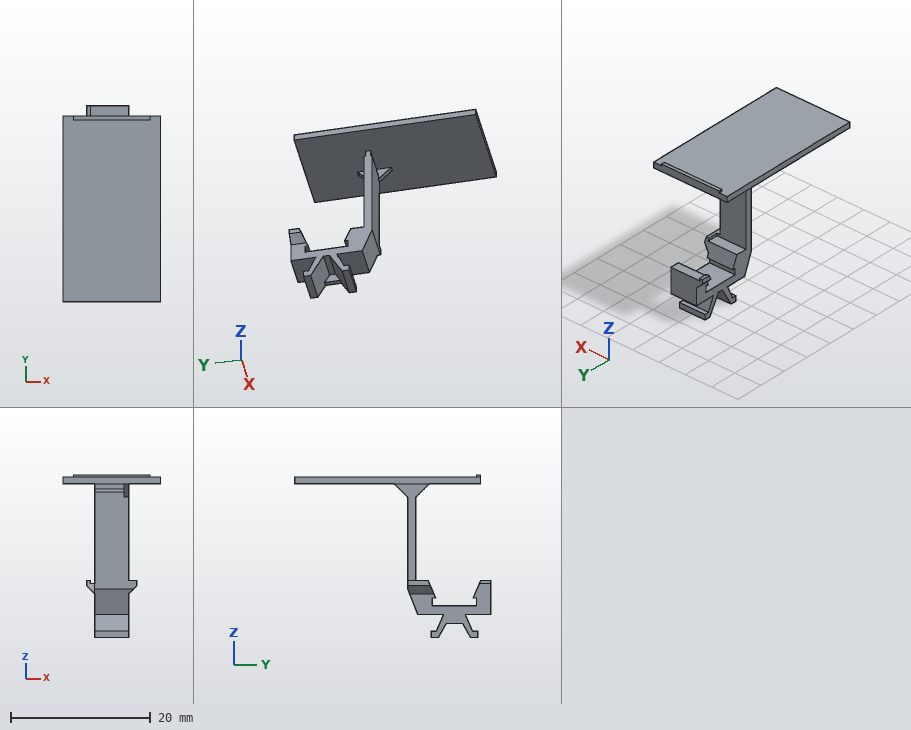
import cadquery as cq


PLATE_WIDTH = 14.0
PLATE_LENGTH = 26.6
PLATE_THICKNESS = 1.0
PLATE_BOTTOM = 18.7
PLATE_BACK_Y = -1.45
BAR_WIDTH = 11.0
BAR_DEPTH = 0.6
BAR_HEIGHT = 0.3

BODY_WIDTH = 4.9
POST_THICKNESS = 1.2
POST_FRONT_Y = -11.9
POST_BEND_Z = 3.65
NECK_THICKNESS = 0.7
NECK_LENGTH = 0.7
NECK_TAPER = 0.45
GUSSET_THICKNESS = 0.7
GUSSET_HALF_SPAN = 2.5

CHANNEL_Y = -5.2
CHANNEL_FLOOR = 1.28
CHANNEL_HALF = 3.15
HOOK_Z = 2.34
HOOK_HALF_GAP = 2.65
JAW_MOUTH_HALF = 3.75
JAW_TOP = 4.9
BASE_FRONT_Y = -10.45

WING_REACH = 1.15
WING_EDGE_HEIGHT = 0.77
LIP_WIDTH = 0.55
LIP_HEIGHT = 0.42

LEG_OUTER_HALF = 1.57
LEG_INNER_HALF = 0.43
FOOT_OUTER_HALF = 3.35
FOOT_HEEL_HALF = 2.6
FOOT_INNER_HALF = 2.3
FOOT_TOP = -2.35
FOOT_BOTTOM = -3.3
WEB_DEPTH = 1.3
WEB_THICKNESS = 0.7

HALF_BODY = BODY_WIDTH / 2
WING_TIP_X = HALF_BODY + WING_REACH
JAW_SEAT = JAW_TOP - LIP_HEIGHT
POST_BACK_Y = POST_FRONT_Y + POST_THICKNESS
POST_Y = POST_FRONT_Y + POST_THICKNESS / 2
PLATE_TOP = PLATE_BOTTOM + PLATE_THICKNESS


def box(x_range, y_range, z_range):
    """Box spanning the given (low, high) ranges."""
    (x0, x1), (y0, y1), (z0, z1) = x_range, y_range, z_range
    return cq.Workplane("XY").box(x1 - x0, y1 - y0, z1 - z0, centered=False).translate((x0, y0, z0))


def extrude_along_x(points, x_start, x_end):
    """Extrude a (Y, Z) outline from x_start to x_end."""
    return cq.Workplane("YZ", origin=(x_start, 0, 0)).polyline(points).close().extrude(x_end - x_start)


def make_plate():
    plate_y = (PLATE_BACK_Y - PLATE_LENGTH, PLATE_BACK_Y)
    plate = box((-PLATE_WIDTH / 2, PLATE_WIDTH / 2), plate_y, (PLATE_BOTTOM, PLATE_TOP))
    bar_y = (PLATE_BACK_Y - BAR_DEPTH, PLATE_BACK_Y)
    bar = box((-BAR_WIDTH / 2, BAR_WIDTH / 2), bar_y, (PLATE_TOP, PLATE_TOP + BAR_HEIGHT))
    return plate.union(bar)


def make_post():
    half_post = POST_THICKNESS / 2
    half_neck = NECK_THICKNESS / 2
    neck_z = PLATE_BOTTOM - NECK_LENGTH
    shoulder_z = neck_z - NECK_TAPER
    outline = [
        (POST_Y - half_post, POST_BEND_Z),
        (POST_Y - half_post, shoulder_z),
        (POST_Y - half_neck, neck_z),
        (POST_Y - half_neck, PLATE_BOTTOM),
        (POST_Y + half_neck, PLATE_BOTTOM),
        (POST_Y + half_neck, neck_z),
        (POST_Y + half_post, shoulder_z),
        (POST_Y + half_post, POST_BEND_Z),
    ]
    return extrude_along_x(outline, -HALF_BODY, HALF_BODY)


def make_gusset():
    """45-degree triangular gusset under the plate, flush with the +X side of the post."""
    outline = [
        (POST_Y - GUSSET_HALF_SPAN, PLATE_BOTTOM),
        (POST_Y + GUSSET_HALF_SPAN, PLATE_BOTTOM),
        (POST_Y, PLATE_BOTTOM - GUSSET_HALF_SPAN),
    ]
    return extrude_along_x(outline, HALF_BODY - GUSSET_THICKNESS, HALF_BODY)


def make_base():
    """Base and both jaws, extruded over the full width including the wings."""
    outline = [
        (0, 0),
        (0, JAW_TOP),
        (CHANNEL_Y + JAW_MOUTH_HALF, JAW_TOP),
        (CHANNEL_Y + HOOK_HALF_GAP, HOOK_Z),
        (CHANNEL_Y + CHANNEL_HALF, HOOK_Z),
        (CHANNEL_Y + CHANNEL_HALF, CHANNEL_FLOOR),
        (CHANNEL_Y - CHANNEL_HALF, CHANNEL_FLOOR),
        (CHANNEL_Y - CHANNEL_HALF, HOOK_Z),
        (CHANNEL_Y - HOOK_HALF_GAP, HOOK_Z),
        (CHANNEL_Y - JAW_MOUTH_HALF, JAW_TOP),
        (POST_FRONT_Y, JAW_TOP),
        (POST_FRONT_Y, POST_BEND_Z),
        (BASE_FRONT_Y, 0),
    ]
    return extrude_along_x(outline, -WING_TIP_X, WING_TIP_X)


def make_jaw_envelope(side, y_start, y_end):
    """Cross-section limit of one jaw, whose wing points to side (-1 or +1) along X."""
    edge_z = JAW_TOP - WING_EDGE_HEIGHT
    outline = [
        (-side * HALF_BODY, 0),
        (-side * HALF_BODY, JAW_TOP),
        (side * WING_TIP_X, JAW_TOP),
        (side * WING_TIP_X, edge_z),
        (side * HALF_BODY, edge_z - WING_REACH),
        (side * HALF_BODY, 0),
    ]
    plane = cq.Workplane("XZ", origin=(0, y_end, 0))
    return plane.polyline(outline).close().extrude(y_end - y_start)


def make_jaw_seat_cut(side, y_start, y_end):
    """Lowered jaw top that leaves only the lip at the wing end standing."""
    x_ends = sorted((-side * HALF_BODY, side * (WING_TIP_X - LIP_WIDTH)))
    return box(x_ends, (y_start, y_end), (JAW_SEAT, JAW_TOP))


def make_clip():
    back_jaw = (-1, CHANNEL_Y, 0)
    front_jaw = (1, POST_FRONT_Y, CHANNEL_Y)
    envelope = make_jaw_envelope(*back_jaw).union(make_jaw_envelope(*front_jaw))
    clip = make_base().intersect(envelope)
    clip = clip.cut(make_jaw_seat_cut(*back_jaw))
    return clip.cut(make_jaw_seat_cut(1, POST_BACK_Y, CHANNEL_Y))


def make_leg(side):
    """Splayed leg with an outward foot, on the side (-1 or +1) of the channel centre along Y."""
    half_outline = [
        (LEG_INNER_HALF, 0),
        (LEG_OUTER_HALF, 0),
        (FOOT_HEEL_HALF, FOOT_TOP),
        (FOOT_OUTER_HALF, FOOT_TOP),
        (FOOT_OUTER_HALF, FOOT_BOTTOM),
        (FOOT_INNER_HALF, FOOT_BOTTOM),
    ]
    outline = [(CHANNEL_Y + side * y, z) for y, z in half_outline]
    return extrude_along_x(outline, -HALF_BODY, HALF_BODY)


def make_web():
    """Web filling the top of the gap between the legs, flush with the +X side."""
    leg_slope = (FOOT_INNER_HALF - LEG_INNER_HALF) / -FOOT_BOTTOM
    bottom_half = LEG_INNER_HALF + leg_slope * WEB_DEPTH
    outline = [
        (CHANNEL_Y - LEG_INNER_HALF, 0),
        (CHANNEL_Y + LEG_INNER_HALF, 0),
        (CHANNEL_Y + bottom_half, -WEB_DEPTH),
        (CHANNEL_Y - bottom_half, -WEB_DEPTH),
    ]
    return extrude_along_x(outline, HALF_BODY - WEB_THICKNESS, HALF_BODY)


result = make_clip()
for feature in (make_post(), make_gusset(), make_plate(), make_leg(-1), make_leg(1), make_web()):
    result = result.union(feature)